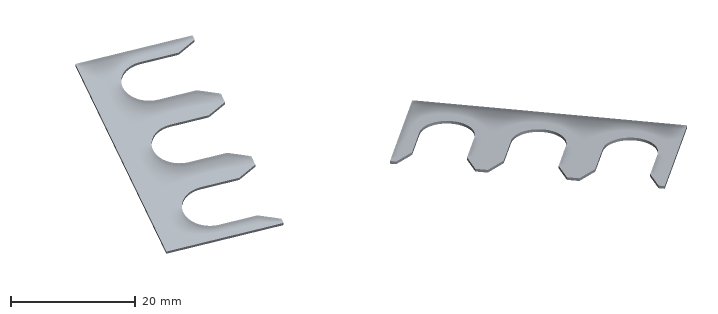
import cadquery as cq
import math

length = 45.0
width = 20.0
thickness = 0.5

slot_count = 3
slot_pitch = length / slot_count
slot_width = 9.0
slot_radius = slot_width / 2
slot_center_y = width / 2

mouth_flare = 2.0
mouth_angle = 60.0
mouth_depth = mouth_flare * math.tan(math.radians(mouth_angle))


def slot_cutter(center_x):
    """Round-bottomed slot that flares out where it meets the +Y edge."""
    left = center_x - slot_radius
    right = center_x + slot_radius
    mouth_start_y = width - mouth_depth
    return (
        cq.Workplane("XY")
        .moveTo(left - mouth_flare, width)
        .lineTo(left, mouth_start_y)
        .lineTo(left, slot_center_y)
        .threePointArc((center_x, slot_center_y - slot_radius), (right, slot_center_y))
        .lineTo(right, mouth_start_y)
        .lineTo(right + mouth_flare, width)
        .close()
        .extrude(thickness)
    )


result = cq.Workplane("XY").box(length, width, thickness, centered=False)
for index in range(slot_count):
    result = result.cut(slot_cutter((index + 0.5) * slot_pitch))